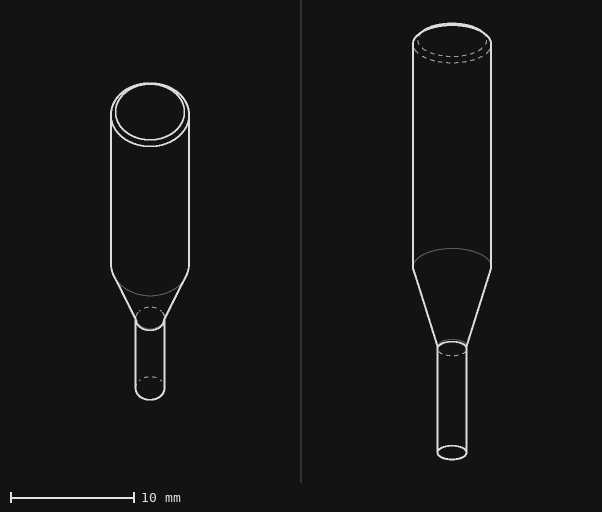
import cadquery as cq

TOTAL_LENGTH = 38.1
SHANK_RADIUS = 3.18
SHANK_CHAMFER = 0.4
SHANK_LENGTH = 20.95
TAPER_LENGTH = 7.3
COLLAR_LENGTH = 0.23
TIP_RADIUS = 1.2

top_z = TOTAL_LENGTH / 2
bottom_z = -TOTAL_LENGTH / 2
taper_top_z = top_z - SHANK_LENGTH
taper_bottom_z = taper_top_z - TAPER_LENGTH
joint_z = taper_bottom_z - COLLAR_LENGTH


def make_shank():
    """Chamfered shank that tapers down to a short collar."""
    half_profile = (
        cq.Workplane("XZ")
        .moveTo(0, top_z)
        .lineTo(-(SHANK_RADIUS - SHANK_CHAMFER), top_z)
        .lineTo(-SHANK_RADIUS, top_z - SHANK_CHAMFER)
        .lineTo(-SHANK_RADIUS, taper_top_z)
        .lineTo(-TIP_RADIUS, taper_bottom_z)
        .lineTo(-TIP_RADIUS, joint_z)
        .lineTo(0, joint_z)
        .close()
    )
    return half_profile.revolve(360, (0, 0, 0), (0, 1, 0))


def make_tip():
    """Plain round tip that butts against the collar."""
    half_profile = (
        cq.Workplane("XZ")
        .moveTo(0, joint_z)
        .lineTo(-TIP_RADIUS, joint_z)
        .lineTo(-TIP_RADIUS, bottom_z)
        .lineTo(0, bottom_z)
        .close()
    )
    return half_profile.revolve(360, (0, 0, 0), (0, 1, 0))


shank = make_shank()
tip = make_tip()
result = cq.Compound.makeCompound([shank.val(), tip.val()])